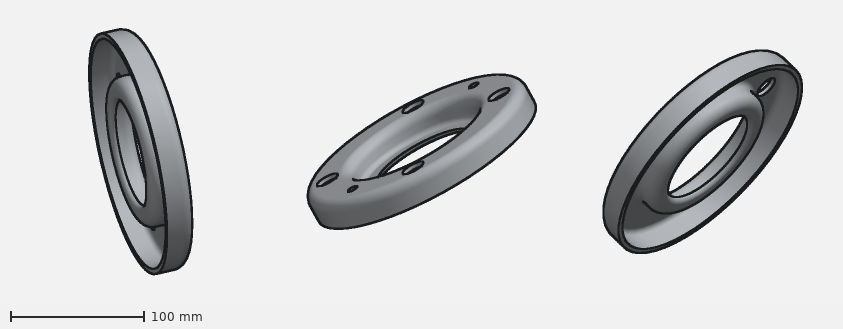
import cadquery as cq
import math

outer_radius = 92.5
sheet = 4.0
inner_bend = 4.3
outer_bend = inner_bend + sheet
total_depth = 22.5
rim_depth = 22.2

ring_radius = 57.9
bore_radius = 40.5

bolt_circle_radius = 72.5
bolt_hole_diameter = 17.5
bolt_hole_count = 4
pin_offset = 51.2
pin_hole_diameter = 8.0

back = total_depth / 2
web_front = back - sheet
rim_front = back - rim_depth
ring_front = -total_depth / 2
ring_back = ring_front + sheet
lip_center = bore_radius + sheet
ring_inside = ring_radius - sheet
rim_inside = outer_radius - sheet
diagonal = math.sqrt(0.5)


def bend(profile, corner, radius, start, end):
    """Add a quarter-round bend about the virtual corner, entering and leaving along unit directions."""
    center = [corner[i] + radius * (end[i] - start[i]) for i in range(2)]
    middle = [center[i] + radius * diagonal * (start[i] - end[i]) for i in range(2)]
    first = [corner[i] - radius * start[i] for i in range(2)]
    last = [corner[i] + radius * end[i] for i in range(2)]
    return profile.lineTo(*first).threePointArc(tuple(middle), tuple(last))


def pressed_body():
    outward, inward = (1, 0), (-1, 0)
    backward, forward = (0, 1), (0, -1)
    profile = cq.Workplane("XY").moveTo(lip_center, ring_front)
    profile = bend(profile, (ring_radius, ring_front), outer_bend, outward, backward)
    profile = bend(profile, (ring_radius, web_front), inner_bend, backward, outward)
    profile = bend(profile, (rim_inside, web_front), inner_bend, outward, forward)
    profile = profile.lineTo(rim_inside, rim_front).lineTo(outer_radius, rim_front)
    profile = bend(profile, (outer_radius, back), outer_bend, backward, inward)
    profile = bend(profile, (ring_inside, back), outer_bend, inward, forward)
    profile = bend(profile, (ring_inside, ring_back), inner_bend, forward, inward)
    profile = profile.lineTo(bore_radius, ring_back)
    lip_middle = (lip_center - sheet * diagonal, ring_back - sheet * diagonal)
    profile = profile.threePointArc(lip_middle, (lip_center, ring_front))
    return profile.close().revolve(360, (0, 0, 0), (0, 1, 0))


def through_holes(points, diameter):
    """Cylinders along Y at the given (X, Z) points."""
    plane = cq.Workplane("XZ", origin=(0, back, 0))
    return plane.pushPoints(points).circle(diameter / 2).extrude(total_depth)


bolt_angles = [2 * math.pi * i / bolt_hole_count for i in range(bolt_hole_count)]
bolt_points = [(bolt_circle_radius * math.cos(a), bolt_circle_radius * math.sin(a)) for a in bolt_angles]
pin_points = [(-pin_offset, pin_offset), (pin_offset, -pin_offset)]

result = (
    pressed_body()
    .cut(through_holes(bolt_points, bolt_hole_diameter))
    .cut(through_holes(pin_points, pin_hole_diameter))
)